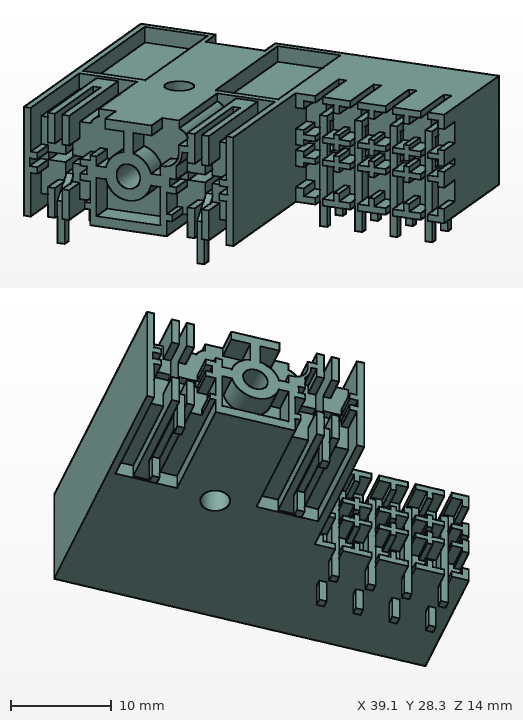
import cadquery as cq
import math

total_width = 39.07
total_depth = 28.3
body_height = 11.4
pin_drop = 2.58
main_width = 22.85
terminal_front = 15.05
mid_z = body_height / 2
axis_x = 11.4

wall = 0.75
mouth_depth = 2.58
bay_back = 11.75
bay_floor = 1.65
bay_inner = 7.05
core_side = 7.23
core_wall = 0.7
pocket_end = 7.58
pocket_front = 12.6

blade_x = 3.8
blade_half = 1.17
blade_gap = 0.25
blade_length = 3.13
slot_half = 0.4
slot_back = 9.25
nub_half = 2.23 / 2
wall_nub_end = 1.5
core_nub_end = 6.17
groove_half = 0.82 / 2
groove_start, groove_end = 0.63, 6.88
deep_groove_start, deep_groove_end = 1.55, 6.0
lug_end = 6.65
lug_bottom, lug_top = bay_floor, 2.35

boss_radius = 2.55
bore_radius = 1.3
bore_depth = 7.8
web_half = 0.63
stem_half = 1.05 / 2
roof_half = 2.55
roof_thickness = 1.05
channel_x = 15.25
left_channel_x = 2 * axis_x - channel_x
channel_radius = 1.68
channel_bottom = 7.3
channel_z = channel_bottom + channel_radius
cradle_thickness = 0.35
cradle_tab = 0.7
screw_hole_radius = 1.5
screw_hole_y = 12.25
notch_half = 3.25
notch_depth = 2.5
rear_boss_radius = 2.35

front_leg = (0.6, 1.65)
rear_leg = (8.25, 9.2)
pin_bend_start_z = 1.88
pin_bend_end_y = 2.8
pin_low_top = 4.1
pin_high_top = 6.1
pin_step_y = 6.72

terminal_count = 4
terminal_pitch = 3.83
first_terminal_x = 25.4
terminal_slot_back = 20.7
terminal_pin_front = 16.15
terminal_pin_top = 9.05
terminal_leg = 0.82
terminal_window = (5.08, 8.25)
shelf_thickness = 0.7
outer_rib = 1.52
inner_shelf_z = 0.9
inner_shelf_thickness = 0.6
inner_rib_start, inner_rib_end = 0.293, 1.95
rib_half = 0.293
end_rib_left, end_rib_right = 0.9, 0.7


def box(x0, x1, y0, y1, z0, z1):
    """Box between two opposite corners."""
    return cq.Workplane("XY").box(x1 - x0, y1 - y0, z1 - z0, centered=False).translate((x0, y0, z0))


def rod(x, z, radius, y0, y1):
    """Cylinder along Y."""
    return cq.Workplane("XZ", origin=(x, y0, z)).circle(radius).extrude(y0 - y1)


def both_sides(shape):
    """The shape together with its mirror image about the main block's axis."""
    return shape.union(shape.mirror("YZ", (axis_x, 0, 0)))


def both_levels(shape):
    """The shape together with its mirror image about mid height."""
    return shape.union(shape.mirror("XY", (0, 0, mid_z)))


def bay_cavity():
    """Left-hand space: the open mouth plus the bays cut in the top and bottom faces."""
    mouth = box(wall, axis_x, 0, mouth_depth, 0, body_height)
    top_bay = box(wall, bay_inner, mouth_depth, bay_back, body_height - bay_floor, body_height)
    top_bay = top_bay.cut(rod(left_channel_x, channel_z, channel_radius, mouth_depth, bay_back))
    bottom_bay = box(wall, core_side, mouth_depth, bay_back, 0, bay_floor)
    return mouth.union(top_bay).union(bottom_bay)


def bay_fittings():
    """Left-hand blades, nubs and lug."""
    left, right = blade_x - blade_half, blade_x + blade_half
    blade_top = body_height - blade_gap
    mouth_blade = box(left, right, 0, mouth_depth, blade_top - blade_length, blade_top)
    rib = box(left, right, mouth_depth, bay_back, body_height - bay_floor, blade_top)
    fittings = both_levels(mouth_blade.union(rib))
    for x0, x1 in ((wall, wall_nub_end), (core_nub_end, core_side)):
        fittings = fittings.union(box(x0, x1, 0, mouth_depth, mid_z - nub_half, mid_z + nub_half))
    return fittings.union(box(lug_end, core_side, 0, mouth_depth, lug_bottom, lug_top))


def contact_slots():
    """Left-hand upright slot and the level groove crossing it."""
    upright = box(blade_x - slot_half, blade_x + slot_half, 0, slot_back, 0, body_height)
    low, high = mid_z - groove_half, mid_z + groove_half
    groove = box(groove_start, groove_end, 0, mouth_depth, low, high)
    deep_groove = box(deep_groove_start, deep_groove_end, mouth_depth, slot_back, low, high)
    return upright.union(groove).union(deep_groove)


def contact_pin(pin_x):
    """Pin with two legs, a sloped front shoulder and a raised back with a tail toward -X."""
    outline = [
        (front_leg[0], -pin_drop),
        (front_leg[1], -pin_drop),
        (front_leg[1], 0),
        (rear_leg[0], 0),
        (rear_leg[0], -pin_drop),
        (rear_leg[1], -pin_drop),
        (rear_leg[1], pin_high_top),
        (pin_step_y, pin_high_top),
        (pin_step_y, pin_low_top),
        (pin_bend_end_y, pin_low_top),
        (front_leg[0], pin_bend_start_z),
    ]
    start = cq.Workplane("YZ", origin=(pin_x - slot_half, 0, 0))
    pin = start.polyline(outline).close().extrude(2 * slot_half)
    tail = box(
        pin_x - blade_x + deep_groove_start, pin_x + slot_half, pin_step_y, rear_leg[1],
        mid_z - groove_half, mid_z + groove_half,
    )
    return pin.union(tail)


def core():
    """Central bore boss with its webs, stem, roof and floor frame, filling the mouth."""
    right_side = 2 * axis_x - core_side
    shape = rod(axis_x, mid_z, boss_radius, 0, mouth_depth)
    shape = shape.union(box(core_side, right_side, 0, mouth_depth, mid_z - web_half, mid_z + web_half))
    shape = shape.union(box(core_side, right_side, 0, mouth_depth, 0, roof_thickness))
    side_wall = box(core_side, core_side + core_wall, 0, mouth_depth, 0, channel_bottom)
    shape = shape.union(both_sides(side_wall))
    lip = box(core_side, left_channel_x, 0, mouth_depth, mid_z, channel_z)
    shape = shape.union(lip.cut(rod(left_channel_x, channel_z, channel_radius, 0, mouth_depth)))
    shape = shape.union(
        box(axis_x - stem_half, axis_x + stem_half, 0, mouth_depth, mid_z, body_height)
    )
    return shape.union(
        box(
            axis_x - roof_half, axis_x + roof_half, 0, mouth_depth,
            body_height - roof_thickness, body_height,
        )
    )


def cradle():
    """Curved channel between the core and the right-hand blade."""
    outer_radius = channel_radius + cradle_thickness
    top = body_height - bay_floor
    tab_bottom = top - cradle_tab
    left = 2 * axis_x - core_side - core_wall
    right = 2 * axis_x - core_nub_end
    blade_side = 2 * axis_x - blade_x - blade_half

    def arc_point(radius, angle):
        return channel_x + radius * math.cos(angle), channel_z + radius * math.sin(angle)

    tab_angle = math.asin((tab_bottom - channel_z) / outer_radius)
    foot_angle = -math.acos((right - channel_x) / outer_radius)
    profile = (
        cq.Workplane("XZ")
        .moveTo(left, mid_z)
        .lineTo(right, mid_z)
        .lineTo(*arc_point(outer_radius, foot_angle))
        .threePointArc(
            arc_point(outer_radius, (foot_angle + tab_angle) / 2),
            arc_point(outer_radius, tab_angle),
        )
        .lineTo(blade_side, tab_bottom)
        .lineTo(blade_side, top)
        .lineTo(channel_x + channel_radius, top)
        .lineTo(channel_x + channel_radius, channel_z)
        .threePointArc(
            arc_point(channel_radius, -math.pi / 4),
            arc_point(channel_radius, -math.pi / 2),
        )
        .lineTo(left, channel_bottom)
        .close()
    )
    return profile.extrude(-mouth_depth)


def rear_notch():
    """Upper opening in the back face, leaving a round boss standing in it."""
    notch_front = total_depth - notch_depth
    opening = box(
        axis_x - notch_half, axis_x + notch_half, notch_front, total_depth, mid_z, body_height
    )
    return opening.cut(rod(axis_x, mid_z, rear_boss_radius, notch_front, total_depth))


def main_block():
    block = box(0, main_width, 0, total_depth, 0, body_height)
    block = block.cut(both_sides(bay_cavity()))
    block = block.union(core()).union(both_sides(bay_fittings())).union(cradle())
    block = block.cut(both_sides(contact_slots()))
    rear_pocket = box(
        wall, pocket_end, pocket_front, total_depth - wall, body_height - bay_floor, body_height
    )
    block = block.cut(both_sides(rear_pocket))
    block = block.cut(rear_notch())
    block = block.cut(rod(axis_x, mid_z, bore_radius, 0, bore_depth))
    screw_hole = cq.Workplane("XY").center(axis_x, screw_hole_y).circle(screw_hole_radius)
    block = block.cut(screw_hole.extrude(body_height))
    for pin_x in (blade_x, 2 * axis_x - blade_x):
        block = block.union(contact_pin(pin_x))
    return block


def terminal_shelves():
    """Ribbed shelves across the mouth of the terminal block."""
    back = terminal_front + mouth_depth
    shelf_bottom = mid_z + inner_shelf_z
    shelves = box(
        main_width, total_width, terminal_front, back, body_height - shelf_thickness, body_height
    )
    shelves = shelves.union(
        box(
            main_width, total_width, terminal_front, back,
            shelf_bottom, shelf_bottom + inner_shelf_thickness,
        )
    )
    rib_spans = [
        (main_width, main_width + end_rib_left),
        (total_width - end_rib_right, total_width),
    ]
    for i in range(terminal_count - 1):
        rib_x = first_terminal_x + (i + 0.5) * terminal_pitch
        rib_spans.append((rib_x - rib_half, rib_x + rib_half))
    rib_levels = (
        (body_height - outer_rib, body_height),
        (mid_z + inner_rib_start, mid_z + inner_rib_end),
    )
    for x0, x1 in rib_spans:
        for z0, z1 in rib_levels:
            shelves = shelves.union(box(x0, x1, terminal_front, back, z0, z1))
    return both_levels(shelves)


def terminal_pin(x0, x1):
    """Upright plate with a window and a leg at each end."""
    pin = box(x0, x1, terminal_pin_front, terminal_slot_back, 0, terminal_pin_top)
    for leg_y in (terminal_pin_front, terminal_slot_back - terminal_leg):
        pin = pin.union(box(x0, x1, leg_y, leg_y + terminal_leg, -pin_drop, 0))
    window_front = terminal_pin_front + terminal_leg
    window_back = terminal_slot_back - terminal_leg
    return pin.cut(box(x0, x1, window_front, window_back, *terminal_window))


def terminal_block():
    back = terminal_front + mouth_depth
    block = box(main_width, total_width, back, total_depth, 0, body_height)
    block = block.union(terminal_shelves())
    for i in range(terminal_count):
        x0 = first_terminal_x + i * terminal_pitch - slot_half
        x1 = x0 + 2 * slot_half
        block = block.cut(box(x0, x1, terminal_front, terminal_slot_back, 0, body_height))
        block = block.union(terminal_pin(x0, x1))
    return block


result = main_block().union(terminal_block())